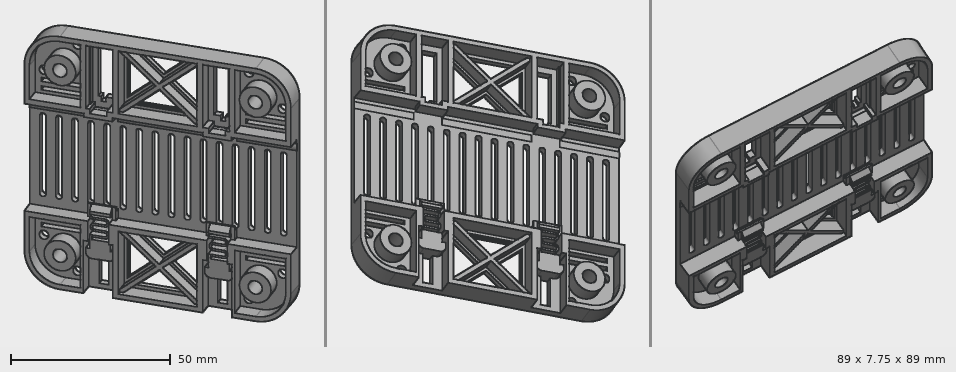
import cadquery as cq
import math

SIZE = 89.0
HALF = SIZE / 2
DEPTH = 7.75
FLOOR = 2.5
CORNER_RADIUS = 11.9
DRAFT_ANGLE = 1.2
CHANNEL_HALF = 18.8

RIM = 1.9
POCKET_OUTER = HALF - RIM
POCKET_INNER = 20.65
POCKET_MID = (POCKET_OUTER + POCKET_INNER) / 2
POCKET_HEIGHT = POCKET_OUTER - POCKET_INNER
CORNER_POCKET_INNER = 25.6

BOSS_CENTER = 32.5
BOSS_RADIUS = 5.25
SCREW_RADIUS = 2.3
PILOT_RADIUS = 1.5
PILOT_OUTWARD = 7.2
PILOT_INWARD_X = 4.0
PILOT_INWARD_Z = 3.6
VENT_CENTER_X = 34.0
VENT_LENGTH = 13.1
VENT_WIDTH = 1.3
VENT_ROWS = [22.5, 25.5]

BRACE_POCKET_WIDTH = 26.2
BRACE_OPENING_WIDTH = 23.7
BRACE_OPENING_INNER = 22.1
BRACE_OPENING_OUTER = 41.4
REBATE_MARGIN = 0.4
REBATE_FLOOR = 1.0
BRACE_WIDTH = 3.5
BRACE_RIB_WIDTH = 1.5
BRACE_RIB_TOP = 6.2
BRACE_FLOOR = 2.0
BRACE_ANGLE = math.degrees(math.atan2(POCKET_HEIGHT, BRACE_POCKET_WIDTH))

SLOT_COUNT = 16
SLOT_PITCH = 5.3
SLOT_WIDTH = 2.05
SLOT_TOP = 13.7
SLOT_BOTTOM = -15.5

BEAD_TOP = 17.45
BEAD_BOTTOM = 15.0
BEAD_RISE = 0.3

STATION_X = 19.8
STATION_WIDTH = 9.4

LIP_BOTTOM = 17.2
LIP_TIP_BOTTOM = 17.5
LIP_BASE = 3.8
STATION_POCKET_INNER = 14.95
UPPER_OUTER = 23.9
UPPER_STEP = 0.4
UPPER_STEP_TOP = 4.45
WINDOW_X = 19.2
WINDOW_WIDTH = 4.8
WINDOW_TOP = 40.4
WINDOW_BOTTOM = 23.0
KEYWAY_X = 19.85
KEYWAY_WIDTH = 1.6
KEYWAY_BOTTOM = 21.3
RECESS_WIDTH = 5.6
RECESS_BOTTOM = 19.05

LOWER_OUTER = 24.75
NECK_WIDTH = 6.9
NECK_BOTTOM = -25.8
RELEASE_SLOT_WIDTH = 3.2
RELEASE_SLOT_BOTTOM = -42.7
GUIDE_TOP = -14.2
GUIDE_FOOT_TOP = -15.6
GUIDE_UNDERSIDE = 3.7
GUIDE_HEIGHT = 4.45
CLIP_HEIGHT = 6.05
HOOK_SLOPE_END = -16.1
HOOK_BOTTOM = -17.2
GRIP_TOP = -25.9
GRIP_SHOULDER = -29.1
GRIP_BOTTOM = -32.6
GRIP_RADIUS = 2.0

SPRING_TOP = -18.3
SPRING_PITCH = 2.09
SPRING_RUNS = 4
SPRING_STRIP = 0.7
SPRING_RIGHT = 3.0
SPRING_LEFT = -3.2


def sketch(height=0.0):
    """Workplane parallel to the back face at the given height above it."""
    return cq.Workplane("XZ").workplane(offset=height)


def block(x_range, z_range, height_range):
    """Box spanning the given X, Z and height ranges."""
    x0, x1 = min(x_range), max(x_range)
    z0, z1 = min(z_range), max(z_range)
    low, high = height_range
    return (
        sketch(low)
        .center((x0 + x1) / 2, (z0 + z1) / 2)
        .rect(x1 - x0, z1 - z0)
        .extrude(high - low)
    )


def side_profile(points, x_center, width):
    """Extrude a (height, Z) outline along X, centred on x_center."""
    outline = [(-height, z) for height, z in points]
    return cq.Workplane("YZ").workplane(offset=x_center - width / 2).polyline(outline).close().extrude(width)


def base_body():
    """Rounded square with drafted sides and the wide channel across the middle."""
    body = sketch().sketch().rect(SIZE, SIZE).vertices().fillet(CORNER_RADIUS).finalize()
    body = body.extrude(DEPTH, taper=DRAFT_ANGLE)
    return body.cut(block((-HALF, HALF), (-CHANNEL_HALF, CHANNEL_HALF), (FLOOR, DEPTH)))


def add_corner(body, side, level):
    """Corner pocket with its screw boss, pilot holes and vents."""
    pocket = block(
        (side * CORNER_POCKET_INNER, side * POCKET_OUTER),
        (level * POCKET_INNER, level * POCKET_OUTER),
        (FLOOR, DEPTH),
    )
    corner_point = (side * POCKET_OUTER, -(FLOOR + DEPTH) / 2, level * POCKET_OUTER)
    rounded_edge = cq.selectors.NearestToPointSelector(corner_point)
    pocket = pocket.edges("|Y").edges(rounded_edge).fillet(CORNER_RADIUS - RIM)
    center = (side * BOSS_CENTER, level * BOSS_CENTER)
    boss = sketch().center(*center).circle(BOSS_RADIUS).extrude(DEPTH)
    body = body.cut(pocket).union(boss)
    body = body.cut(sketch().center(*center).circle(SCREW_RADIUS).extrude(DEPTH))
    pilots = [
        (side * (BOSS_CENTER - PILOT_INWARD_X), level * (BOSS_CENTER + PILOT_OUTWARD)),
        (side * (BOSS_CENTER + PILOT_OUTWARD), level * (BOSS_CENTER - PILOT_INWARD_Z)),
    ]
    body = body.cut(sketch().pushPoints(pilots).circle(PILOT_RADIUS).extrude(DEPTH))
    vents = [(side * VENT_CENTER_X, level * row) for row in VENT_ROWS]
    return body.cut(sketch().pushPoints(vents).rect(VENT_LENGTH, VENT_WIDTH).extrude(FLOOR))


def diagonal_bars(width, height, z_center):
    """Crossed bars along both diagonals of a braced pocket."""
    length = math.hypot(BRACE_POCKET_WIDTH, POCKET_HEIGHT)
    bars = None
    for angle in (BRACE_ANGLE, -BRACE_ANGLE):
        bar = sketch().center(0, z_center).transformed(rotate=(0, 0, angle)).rect(length, width).extrude(height)
        bars = bar if bars is None else bars.union(bar)
    return bars


def add_braced_pocket(body, level):
    """Central pocket whose rebated floor opening is crossed by two ribbed diagonals."""
    z_center = level * POCKET_MID
    pocket = sketch().center(0, z_center).rect(BRACE_POCKET_WIDTH, POCKET_HEIGHT).extrude(DEPTH)
    half_opening = BRACE_OPENING_WIDTH / 2
    half_rebate = half_opening + REBATE_MARGIN
    outer = level * BRACE_OPENING_OUTER
    inner = level * BRACE_OPENING_INNER
    rebate_inner = level * (BRACE_OPENING_INNER - REBATE_MARGIN)
    opening = block((-half_opening, half_opening), (inner, outer), (0, BRACE_FLOOR))
    rebate = block((-half_rebate, half_rebate), (rebate_inner, outer), (REBATE_FLOOR, BRACE_FLOOR))
    opening = opening.union(rebate)
    opening = opening.cut(diagonal_bars(BRACE_WIDTH, BRACE_FLOOR, z_center))
    ribs = diagonal_bars(BRACE_RIB_WIDTH, BRACE_RIB_TOP, z_center).intersect(pocket)
    pocket = pocket.cut(block((-HALF, HALF), (-HALF, HALF), (0, BRACE_FLOOR)))
    return body.cut(pocket).cut(opening).union(ribs)


def cut_channel_slots(body):
    """Row of round-ended slots through the channel floor."""
    length = SLOT_TOP - SLOT_BOTTOM
    first = -SLOT_PITCH * (SLOT_COUNT - 1) / 2
    centers = [(first + i * SLOT_PITCH, (SLOT_TOP + SLOT_BOTTOM) / 2) for i in range(SLOT_COUNT)]
    return body.cut(sketch().pushPoints(centers).slot2D(length, SLOT_WIDTH, 90).extrude(FLOOR))


def add_bead(body):
    """Low rounded bead along X, interrupted at the clip stations."""
    crest = (-FLOOR - BEAD_RISE, (BEAD_TOP + BEAD_BOTTOM) / 2)
    bead = (
        cq.Workplane("YZ")
        .workplane(offset=-HALF)
        .moveTo(-FLOOR, BEAD_BOTTOM)
        .threePointArc(crest, (-FLOOR, BEAD_TOP))
        .close()
        .extrude(SIZE)
    )
    for side in (-1, 1):
        x = side * STATION_X
        gap = (x - STATION_WIDTH / 2, x + STATION_WIDTH / 2)
        bead = bead.cut(block(gap, (BEAD_BOTTOM, BEAD_TOP), (0, DEPTH)))
    return body.union(bead)


def add_upper_station(body, side):
    """Lip over the channel and the windowed pocket behind it."""
    x = side * STATION_X
    lip = side_profile(
        [
            (LIP_BASE, CHANNEL_HALF + RIM / 2),
            (LIP_BASE, LIP_BOTTOM),
            (DEPTH, LIP_TIP_BOTTOM),
            (DEPTH, CHANNEL_HALF + RIM / 2),
        ],
        x,
        STATION_WIDTH,
    )
    body = body.union(lip)
    pocket_z = (POCKET_INNER, POCKET_OUTER)
    step_x = side * (UPPER_OUTER - UPPER_STEP)
    body = body.cut(block((side * STATION_POCKET_INNER, step_x), pocket_z, (FLOOR, DEPTH)))
    body = body.cut(block((step_x, side * UPPER_OUTER), pocket_z, (UPPER_STEP_TOP, DEPTH)))
    recess_x = (x - RECESS_WIDTH / 2, x + RECESS_WIDTH / 2)
    body = body.cut(block(recess_x, (RECESS_BOTTOM, POCKET_INNER), (FLOOR, DEPTH)))
    window_x = side * WINDOW_X
    window = block(
        (window_x - WINDOW_WIDTH / 2, window_x + WINDOW_WIDTH / 2), (WINDOW_BOTTOM, WINDOW_TOP), (0, FLOOR)
    )
    keyway_x = side * KEYWAY_X
    keyway = block(
        (keyway_x - KEYWAY_WIDTH / 2, keyway_x + KEYWAY_WIDTH / 2), (KEYWAY_BOTTOM, WINDOW_BOTTOM), (0, FLOOR)
    )
    return body.cut(window).cut(keyway)


def spring(x):
    """Serpentine strip with straight runs joined by half rings."""
    runs = [SPRING_TOP - i * SPRING_PITCH for i in range(SPRING_RUNS)]
    bend_outer = (SPRING_PITCH + SPRING_STRIP) / 2
    bend_inner = bend_outer - SPRING_STRIP
    right = x + SPRING_RIGHT - bend_outer
    left = x + SPRING_LEFT + bend_outer
    half_strip = SPRING_STRIP / 2
    half_neck = NECK_WIDTH / 2
    heights = (FLOOR, CLIP_HEIGHT)
    strip = None
    for i, z in enumerate(runs):
        start = x - half_neck if i in (0, SPRING_RUNS - 1) else left
        run = block((start, right), (z - half_strip, z + half_strip), heights)
        strip = run if strip is None else strip.union(run)
    for i, bend_x in enumerate((right, left, right)):
        bend_z = (runs[i] + runs[i + 1]) / 2
        ring = sketch(FLOOR).center(bend_x, bend_z).circle(bend_outer).circle(bend_inner)
        ring = ring.extrude(CLIP_HEIGHT - FLOOR)
        outside = bend_x + bend_outer if bend_x == right else bend_x - bend_outer
        half = block((bend_x, outside), (bend_z - bend_outer, bend_z + bend_outer), heights)
        strip = strip.union(ring.intersect(half))
    anchor_x = (x - half_neck, x - half_neck + SPRING_STRIP)
    strip = strip.union(block(anchor_x, (runs[0], HOOK_BOTTOM), (FLOOR, GUIDE_HEIGHT)))
    return strip.union(block(anchor_x, (runs[-1], GRIP_TOP), heights))


def clip(x):
    """Sloped hook, spring and thumb grip, standing on the floor."""
    hook = side_profile(
        [
            (FLOOR, HOOK_BOTTOM),
            (FLOOR, GUIDE_FOOT_TOP),
            (GUIDE_UNDERSIDE, GUIDE_FOOT_TOP),
            (GUIDE_UNDERSIDE, GUIDE_TOP),
            (GUIDE_HEIGHT, GUIDE_TOP),
            (CLIP_HEIGHT, HOOK_SLOPE_END),
            (CLIP_HEIGHT, HOOK_BOTTOM),
        ],
        x,
        NECK_WIDTH,
    )
    half_grip = STATION_WIDTH / 2
    grip = block((x - half_grip, x + half_grip), (GRIP_BOTTOM, GRIP_SHOULDER), (FLOOR, CLIP_HEIGHT))
    grip = grip.edges("|Y and <Z").fillet(GRIP_RADIUS)
    half_neck = NECK_WIDTH / 2
    tongue = block((x - half_neck, x + half_neck), (GRIP_SHOULDER, GRIP_TOP), (FLOOR, CLIP_HEIGHT))
    return hook.union(grip).union(tongue).union(spring(x))


def add_lower_station(body, side):
    """Open-ended channel with a narrowed neck, two guides and the spring clip."""
    x = side * STATION_X
    half_neck = NECK_WIDTH / 2
    heights = (FLOOR, DEPTH)
    body = body.cut(block((side * STATION_POCKET_INNER, side * LOWER_OUTER), (-HALF, NECK_BOTTOM), heights))
    body = body.cut(block((x - half_neck, x + half_neck), (NECK_BOTTOM, -CHANNEL_HALF), heights))
    half_slot = RELEASE_SLOT_WIDTH / 2
    slot_z = (RELEASE_SLOT_BOTTOM, GRIP_BOTTOM)
    body = body.cut(block((x - half_slot, x + half_slot), slot_z, (0, FLOOR)))
    guide_width = (STATION_WIDTH - NECK_WIDTH) / 2
    guide_outline = [
        (FLOOR, -CHANNEL_HALF),
        (FLOOR, GUIDE_FOOT_TOP),
        (GUIDE_UNDERSIDE, GUIDE_FOOT_TOP),
        (GUIDE_UNDERSIDE, GUIDE_TOP),
        (GUIDE_HEIGHT, GUIDE_TOP),
        (GUIDE_HEIGHT, -CHANNEL_HALF),
    ]
    for end in (-1, 1):
        body = body.union(side_profile(guide_outline, x + end * (half_neck + guide_width / 2), guide_width))
    return body.union(clip(x))


result = base_body()
for level in (-1, 1):
    for side in (-1, 1):
        result = add_corner(result, side, level)
    result = add_braced_pocket(result, level)
result = cut_channel_slots(result)
result = add_bead(result)
for side in (-1, 1):
    result = add_upper_station(result, side)
    result = add_lower_station(result, side)